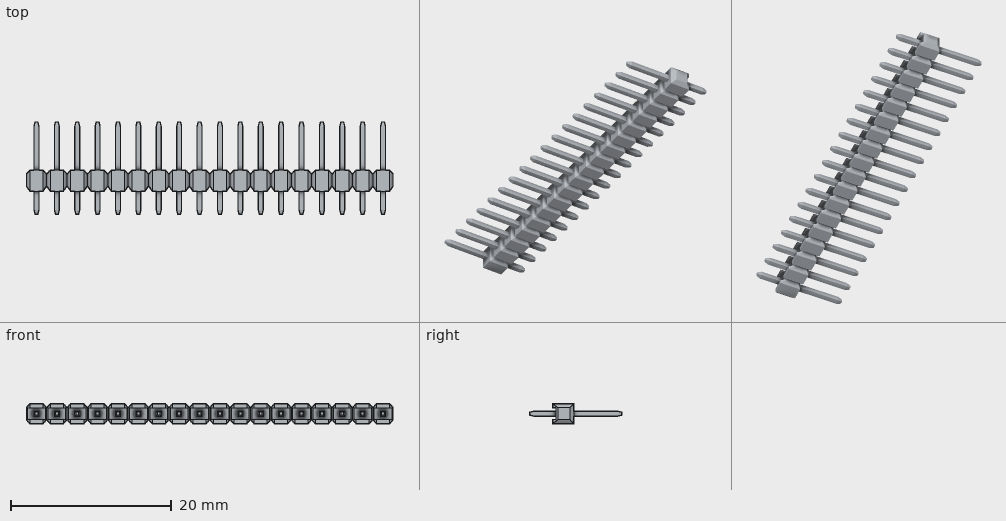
import cadquery as cq

pin_count = 18
strip_length = 45.7
pitch = strip_length / pin_count

block_depth = 2.65
block_height = 2.5
bevel_x = 0.45
bevel_z = 0.5
bevel_back = 0.5
bevel_front = 0.65
channel_depth = 0.4
channel_lip = 0.55
channel_height = block_height - 2 * channel_lip

pin_width = 0.65
pin_tip_width = 0.35
pin_taper = 0.55
long_pin_reach = 6.0
short_pin_reach = 2.9

pin_length = long_pin_reach + block_depth + short_pin_reach
pin_front_y = -pin_length / 2
block_front_y = pin_front_y + short_pin_reach
block_back_y = block_front_y + block_depth


def bevelled_outline(plane, top, bottom, top_bevel, bottom_bevel):
    """Rectangle one pitch wide with its four corners cut, as a closed wire."""
    end_x = pitch / 2
    flat_x = end_x - bevel_x
    return plane.polyline(
        [
            (-flat_x, top),
            (flat_x, top),
            (end_x, top - top_bevel),
            (end_x, bottom + bottom_bevel),
            (flat_x, bottom),
            (-flat_x, bottom),
            (-end_x, bottom + bottom_bevel),
            (-end_x, top - top_bevel),
        ]
    ).close()


def make_block():
    """Block bevelled on all edges of its two end faces, with a channel along X in its -Y face."""
    half_height = block_height / 2
    along_y = bevelled_outline(
        cq.Workplane("XZ", origin=(0, block_back_y, 0)), half_height, -half_height, bevel_z, bevel_z
    ).extrude(block_depth)
    along_z = bevelled_outline(
        cq.Workplane("XY"), block_back_y, block_front_y, bevel_back, bevel_front
    ).extrude(half_height, both=True)
    channel = (
        cq.Workplane("XZ", origin=(0, block_front_y + channel_depth, 0))
        .rect(pitch, channel_height)
        .extrude(channel_depth)
    )
    return along_y.intersect(along_z).cut(channel)


def make_pin():
    """Square pin along Y with a tapered tip at each end."""
    shaft_length = pin_length - 2 * pin_taper
    shaft = cq.Workplane("XY").box(pin_width, shaft_length, pin_width)
    tip = (
        cq.Workplane("XZ", origin=(0, -shaft_length / 2, 0))
        .rect(pin_width, pin_width)
        .workplane(offset=pin_taper)
        .rect(pin_tip_width, pin_tip_width)
        .loft()
    )
    return shaft.union(tip).union(tip.mirror("XZ"))


contact = make_block().union(make_pin())

result = cq.Workplane("XY")
for index in range(pin_count):
    contact_x = (index - (pin_count - 1) / 2) * pitch
    result = result.union(contact.translate((contact_x, 0, 0)))